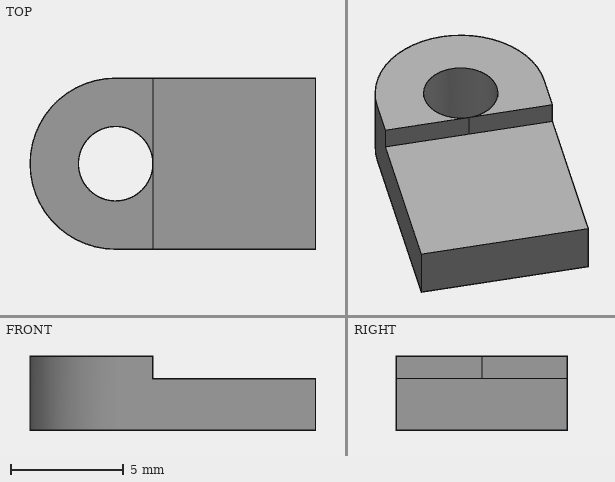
import cadquery as cq

length = 12.7
width = 7.62
head_height = 3.3
tongue_height = 2.3
hole_diameter = 3.3

end_radius = width / 2
hole_radius = hole_diameter / 2
step_x = hole_radius
tongue_end_x = length - end_radius


def make_plate():
    """Full-length plate with one round end, centred on the hole axis."""
    return (
        cq.Workplane("XY")
        .moveTo(0, end_radius)
        .lineTo(tongue_end_x, end_radius)
        .lineTo(tongue_end_x, -end_radius)
        .lineTo(0, -end_radius)
        .threePointArc((-end_radius, 0), (0, end_radius))
        .close()
        .extrude(head_height)
    )


def make_step_cut():
    """Block that lowers the plate from the step to its square end."""
    return cq.Workplane("XY").box(
        tongue_end_x - step_x, width, head_height - tongue_height, centered=(False, True, False)
    ).translate((step_x, 0, tongue_height))


def make_hole():
    """Through hole along Z."""
    return cq.Workplane("XY").circle(hole_radius).extrude(head_height)


result = make_plate().cut(make_step_cut()).cut(make_hole())